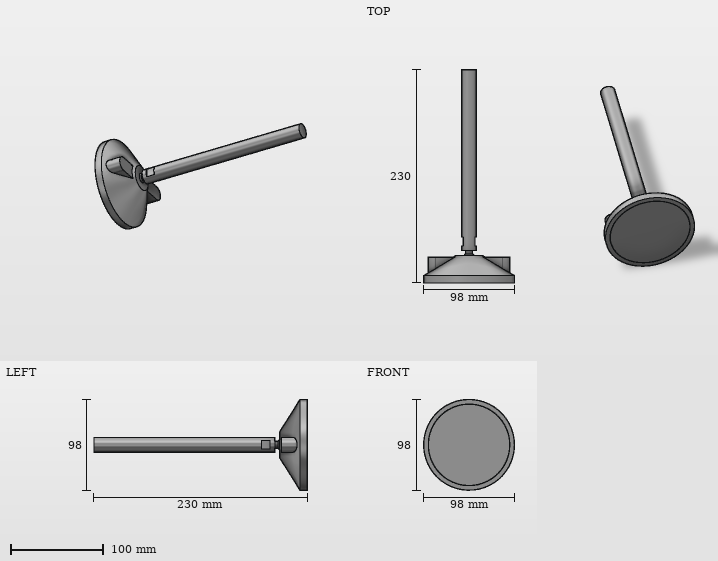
import cadquery as cq

total_length = 230.0
sole_y = -total_length / 2

plate_diameter = 98.0
rim_height = 8.0
cone_top_diameter = 28.0
plate_height = 30.0

pad_diameter = 87.5
pad_seat_diameter = 88.0
groove_depth = 2.0

lug_span = 88.0
lug_width = 16.0
lug_height = 28.0

ball_diameter = 12.5
ball_height = 26.7
neck_diameter = 7.8
spindle_diameter = 16.0
spindle_start = 35.0

flats_start = 40.0
flats_length = 9.5
flats_across = 13.0


def plane_at(height):
    """Plane across the axis at a height above the sole; local X is X, local Z is +Y."""
    return cq.Workplane(cq.Plane(origin=(0, sole_y + height, 0), xDir=(1, 0, 0), normal=(0, 1, 0)))


def cylinder(diameter, start, end):
    """Round bar on the axis between two heights above the sole."""
    return plane_at(start).circle(diameter / 2).extrude(end - start)


def make_plate():
    profile = [
        (0, sole_y),
        (plate_diameter / 2, sole_y),
        (plate_diameter / 2, sole_y + rim_height),
        (cone_top_diameter / 2, sole_y + plate_height),
        (0, sole_y + plate_height),
    ]
    plate = cq.Workplane("XY").polyline(profile).close().revolve(360, (0, 0, 0), (0, 1, 0))
    groove = (
        plane_at(0)
        .circle(pad_seat_diameter / 2)
        .circle(pad_diameter / 2)
        .extrude(groove_depth)
    )
    return plate.cut(groove)


def make_lugs():
    return plane_at(rim_height).slot2D(lug_span, lug_width).extrude(lug_height - rim_height)


def make_ball_and_neck():
    ball = plane_at(ball_height).sphere(ball_diameter / 2)
    return ball.union(cylinder(neck_diameter, ball_height, spindle_start))


def make_spindle():
    spindle = cylinder(spindle_diameter, spindle_start, total_length)
    flats_end = flats_start + flats_length
    flat_band = cylinder(spindle_diameter, flats_start, flats_end)
    flat_core = plane_at(flats_start).rect(flats_across, spindle_diameter).extrude(flats_length)
    return spindle.cut(flat_band.cut(flat_core))


result = make_plate().union(make_lugs()).union(make_ball_and_neck()).union(make_spindle())